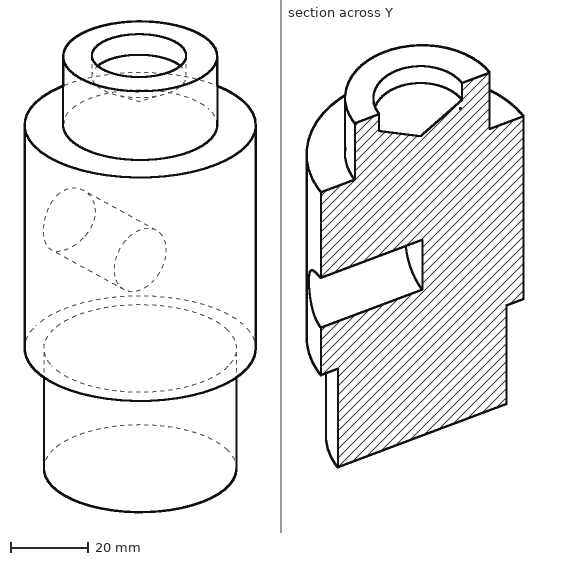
import cadquery as cq
import math

total_height = 120.0
body_diameter = 60.0
body_height = 65.0
base_diameter = body_diameter * 5 / 6
neck_diameter = body_diameter * 2 / 3
neck_height = neck_diameter / 2
base_height = total_height - body_height - neck_height

recess_diameter = 24.5
recess_depth = 6.0
recess_offset = -0.5
drill_point_angle = 118.0

side_hole_diameter = 17.5
side_hole_height = 60.7
side_hole_depth = body_diameter / 2


def stepped_body():
    """Three coaxial cylinders stacked along Z."""
    return (
        cq.Workplane("XY")
        .circle(base_diameter / 2)
        .extrude(base_height)
        .faces(">Z")
        .workplane()
        .circle(body_diameter / 2)
        .extrude(body_height)
        .faces(">Z")
        .workplane()
        .circle(neck_diameter / 2)
        .extrude(neck_height)
    )


def drilled_recess():
    """Cylindrical recess ending in a drill point, revolved about its own axis."""
    radius = recess_diameter / 2
    point_depth = radius / math.tan(math.radians(drill_point_angle / 2))
    floor = total_height - recess_depth
    return (
        cq.Workplane("XZ")
        .moveTo(0, total_height)
        .lineTo(radius, total_height)
        .lineTo(radius, floor)
        .lineTo(0, floor - point_depth)
        .close()
        .revolve(360, (0, 0, 0), (0, 1, 0))
        .translate((recess_offset, 0, 0))
    )


def side_hole():
    """Flat-bottomed radial hole reaching inward from the -X side."""
    return (
        cq.Workplane("YZ", origin=(-body_diameter / 2, 0, side_hole_height))
        .circle(side_hole_diameter / 2)
        .extrude(side_hole_depth)
    )


result = stepped_body().cut(drilled_recess()).cut(side_hole())